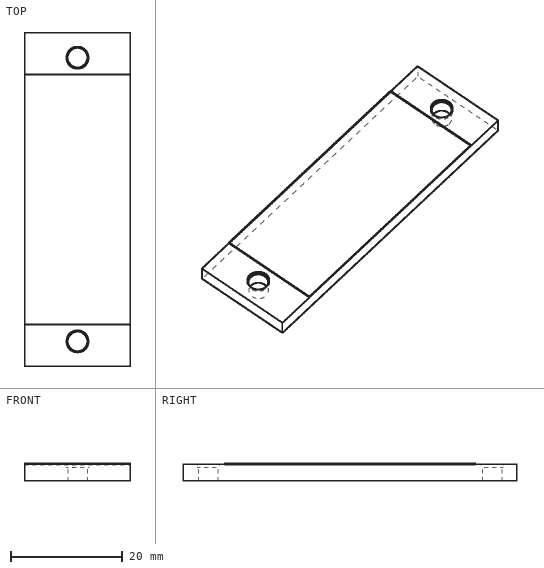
import cadquery as cq

width = 19.0
length = 60.0
plate_thickness = 3.0

pad_length = 45.0
pad_height = 0.2

rim_wall = 0.05
tray_depth = 0.25

hole_diameter = 3.5
counterbore_diameter = 4.0
counterbore_depth = 0.5
hole_spacing = 51.0


def make_block(size_y, height, bottom, side_inset=0.0):
    """Block centred in X and Y, as wide as the plate less an inset on each long side."""
    block = cq.Workplane("XY", origin=(0, 0, bottom))
    return block.rect(width - 2 * side_inset, size_y).extrude(height)


def make_tray_cutter():
    """Block that hollows the pad from its top, inside the rim."""
    tray_floor = plate_thickness + pad_height - tray_depth
    return make_block(pad_length - 2 * rim_wall, tray_depth, tray_floor, rim_wall)


def cut_mounting_holes(body):
    """Counterbored through holes from the plate's top face, on its centre line."""
    hole_centers = [(0, side * hole_spacing / 2) for side in (-1, 1)]
    return (
        body.copyWorkplane(cq.Workplane("XY", origin=(0, 0, plate_thickness)))
        .pushPoints(hole_centers)
        .cboreHole(hole_diameter, counterbore_diameter, counterbore_depth)
    )


plate = make_block(length, plate_thickness, 0)
pad = make_block(pad_length, pad_height, plate_thickness)
result = cut_mounting_holes(plate.union(pad).cut(make_tray_cutter()))